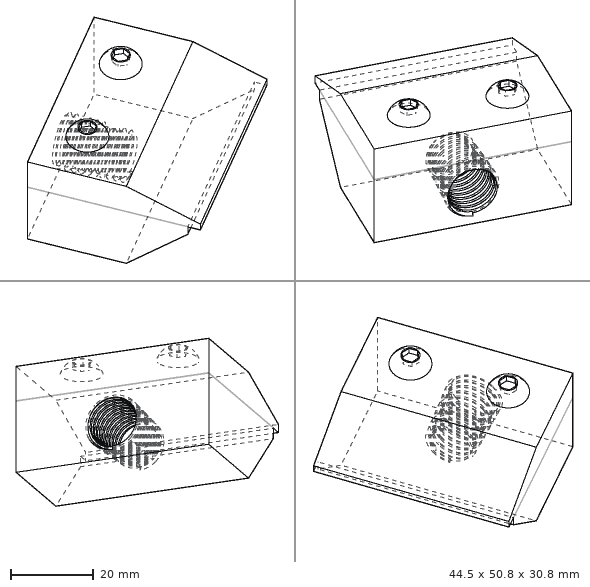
import cadquery as cq
import math

WIDTH = 50.8
COVER_LENGTH = 44.45
BODY_LENGTH = 41.2
FLAT_LENGTH = 25.4
COVER_BASE_Z = 18.5
SEAM_STEP = 0.15
BODY_HEIGHT = COVER_BASE_Z + SEAM_STEP
OVERALL_HEIGHT = 30.8
TOP_Z = 27.6
LIP_HEIGHT = 2.15

SCREW_X = 11.1
SCREW_SPACING = WIDTH / 2
HEAD_RADIUS = 5.25
HEAD_TOP_RADIUS = 2.35
HEAD_HEIGHT = OVERALL_HEIGHT - TOP_Z
HEX_ACROSS_FLATS = 3.85
HEX_DEPTH = 1.75
HEX_HALF_SECTOR = 30.0

INLET_Z = 9.55
INLET_MOUTH_RADIUS = 6.3
INLET_END_RADIUS = 5.5
THREAD_PITCH = 1.8
THREAD_TURNS = 10
INLET_DEPTH = THREAD_TURNS * THREAD_PITCH
THREAD_DEPTH = 0.9
THREAD_OVERLAP = 0.5
THREAD_HALF_ANGLE = 30.0


def extrude_along_y(points):
    """Extrude an XZ outline over the full width, centred on Y = 0."""
    return cq.Workplane("XZ").polyline(points).close().extrude(WIDTH / 2, both=True)


def make_body():
    """Lower block with a 45 degree slope under its front edge."""
    slope_height = BODY_LENGTH - FLAT_LENGTH
    return extrude_along_y([
        (0, 0),
        (FLAT_LENGTH, 0),
        (BODY_LENGTH, slope_height),
        (BODY_LENGTH, BODY_HEIGHT),
        (0, BODY_HEIGHT),
    ])


def make_cover():
    """Upper plate that slopes down to an overhanging lip."""
    return extrude_along_y([
        (0, COVER_BASE_Z),
        (COVER_LENGTH, COVER_BASE_Z),
        (COVER_LENGTH, COVER_BASE_Z + LIP_HEIGHT),
        (FLAT_LENGTH, TOP_Z),
        (0, TOP_Z),
    ])


def make_screw_head(y):
    """Domed head with a flat top and a hexagonal socket."""
    centre_drop = (HEAD_RADIUS**2 - HEAD_TOP_RADIUS**2 - HEAD_HEIGHT**2) / (2 * HEAD_HEIGHT)
    dome_radius = math.hypot(HEAD_RADIUS, centre_drop)
    middle_height = HEAD_HEIGHT / 2
    middle_radius = math.sqrt(dome_radius**2 - (middle_height + centre_drop)**2)
    head = (
        cq.Workplane("XZ")
        .lineTo(HEAD_RADIUS, 0)
        .threePointArc((middle_radius, middle_height), (HEAD_TOP_RADIUS, HEAD_HEIGHT))
        .lineTo(0, HEAD_HEIGHT)
        .close()
        .revolve(360, (0, 0), (0, 1))
    )
    hex_diameter = HEX_ACROSS_FLATS / math.cos(math.radians(HEX_HALF_SECTOR))
    socket = (
        cq.Workplane("XY", origin=(0, 0, HEAD_HEIGHT - HEX_DEPTH))
        .transformed(rotate=(0, 0, HEX_HALF_SECTOR))
        .polygon(6, hex_diameter)
        .extrude(HEX_DEPTH)
    )
    return head.cut(socket).translate((SCREW_X, y, TOP_Z))


def make_inlet_cone():
    """Blind conical bore running from the back face along +X."""
    return (
        cq.Workplane("XY")
        .lineTo(INLET_MOUTH_RADIUS, 0)
        .lineTo(INLET_END_RADIUS, INLET_DEPTH)
        .lineTo(0, INLET_DEPTH)
        .close()
        .revolve(360, (0, 0), (0, 1))
        .rotate((0, 0, 0), (0, 0, 1), -90)
        .translate((0, 0, INLET_Z))
    )


def make_thread_groove():
    """Sharp V groove swept along a helix that follows the inlet taper."""
    taper = (INLET_MOUTH_RADIUS - INLET_END_RADIUS) / INLET_DEPTH
    base_radius = INLET_MOUTH_RADIUS - THREAD_OVERLAP
    root_radius = INLET_MOUTH_RADIUS + THREAD_DEPTH
    half_width = (THREAD_DEPTH + THREAD_OVERLAP) * math.tan(math.radians(THREAD_HALF_ANGLE))
    cone_angle = math.degrees(math.atan(taper))
    helix = cq.Wire.makeHelix(THREAD_PITCH, INLET_DEPTH, base_radius, angle=-cone_angle)
    return (
        cq.Workplane("XZ")
        .polyline([(base_radius, -half_width), (root_radius, 0), (base_radius, half_width)])
        .close()
        .sweep(helix, isFrenet=True)
        .rotate((0, 0, 0), (0, 1, 0), 90)
        .translate((0, 0, INLET_Z))
    )


body = make_body().cut(make_inlet_cone()).cut(make_thread_groove())
block = body.union(make_cover(), clean=False)
for screw_y in (-SCREW_SPACING / 2, SCREW_SPACING / 2):
    block = block.union(make_screw_head(screw_y), clean=False)

result = cq.Workplane(block.solids().val())